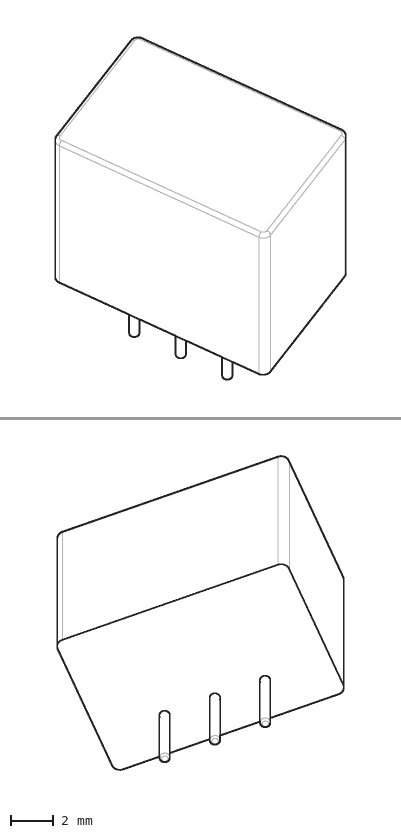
import cadquery as cq

total_height = 14.2
body_length = 11.7
body_width = 7.6
pin_length = 4.0
body_height = total_height - pin_length

corner_radius = 0.4
top_radius = 0.2

pin_count = 3
pin_diameter = 0.5
pin_pitch = 2.54
pin_row_y = -1.8
pin_tip_radius = 0.1
pin_embed = 0.14


def make_body():
    """Block standing on Z = 0 with rounded upright corners and top rim."""
    block = cq.Workplane("XY").box(
        body_length, body_width, body_height, centered=(True, True, False)
    )
    return block.edges("|Z").fillet(corner_radius).faces(">Z").edges().fillet(top_radius)


def make_pin(x):
    """Round pin hanging below the body, with a rounded tip edge."""
    pin = (
        cq.Workplane("XY", origin=(x, pin_row_y, -pin_length))
        .circle(pin_diameter / 2)
        .extrude(pin_length + pin_embed)
    )
    return pin.faces("<Z").edges().fillet(pin_tip_radius)


result = make_body()
for index in range(pin_count):
    pin_x = (index - (pin_count - 1) / 2) * pin_pitch
    result = result.union(make_pin(pin_x))